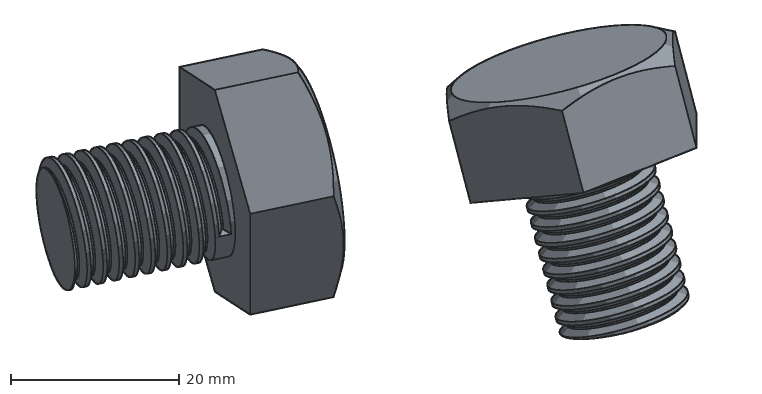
import cadquery as cq
import math

across_corners = 32.0
head_height = 12.0
head_chamfer_angle = 30.0
head_chamfer_drop = 1.6
blank_margin = 0.32

shank_diameter = 16.0
shank_length = 20.0
pitch = shank_diameter / 8
crest_width = pitch / 4
root_width = pitch / 8
thread_half_angle = 30.0
tool_clearance = 0.1

shank_radius = shank_diameter / 2
groove_width = pitch - crest_width
half_angle_slope = math.tan(math.radians(thread_half_angle))
groove_depth = (groove_width - root_width) / 2 / half_angle_slope
groove_start = crest_width + groove_width / 2


def make_head():
    """Hexagon below the XY plane, with the corners of its outer face trimmed by a cone."""
    hexagon = (
        cq.Workplane("XY")
        .polygon(6, across_corners)
        .extrude(-head_height)
        .rotate((0, 0, 0), (0, 0, 1), 90)
    )
    corner_radius = across_corners / 2
    cone_slope = math.tan(math.radians(head_chamfer_angle))
    face_radius = corner_radius - head_chamfer_drop / cone_slope
    blank_radius = corner_radius + blank_margin
    blank_drop = (blank_radius - face_radius) * cone_slope
    blank = (
        cq.Workplane("XZ")
        .moveTo(0, 0)
        .lineTo(blank_radius, 0)
        .lineTo(blank_radius, blank_drop - head_height)
        .lineTo(face_radius, -head_height)
        .lineTo(0, -head_height)
        .close()
        .revolve(360, (0, 0, 0), (0, 1, 0))
    )
    return hexagon.intersect(blank)


def make_thread_groove():
    """Right-handed flat-bottomed V groove, from +X near the head to past the shank end."""
    helix_height = shank_length - groove_start + pitch
    helix = cq.Wire.makeHelix(pitch, helix_height, shank_radius, cq.Vector(0, 0, groove_start))
    mouth_half_width = groove_width / 2 + tool_clearance * half_angle_slope
    mouth_radius = shank_radius + tool_clearance
    root_radius = shank_radius - groove_depth
    return (
        cq.Workplane("XZ")
        .moveTo(root_radius, groove_start + root_width / 2)
        .lineTo(root_radius, groove_start - root_width / 2)
        .lineTo(mouth_radius, groove_start - mouth_half_width)
        .lineTo(mouth_radius, groove_start + mouth_half_width)
        .close()
        .sweep(cq.Workplane(obj=helix), isFrenet=True)
    )


shank = cq.Workplane("XY").circle(shank_radius).extrude(shank_length)
threaded_shank = shank.cut(make_thread_groove())

result = make_head().union(threaded_shank).rotate((0, 0, 0), (1, 0, 0), 90)